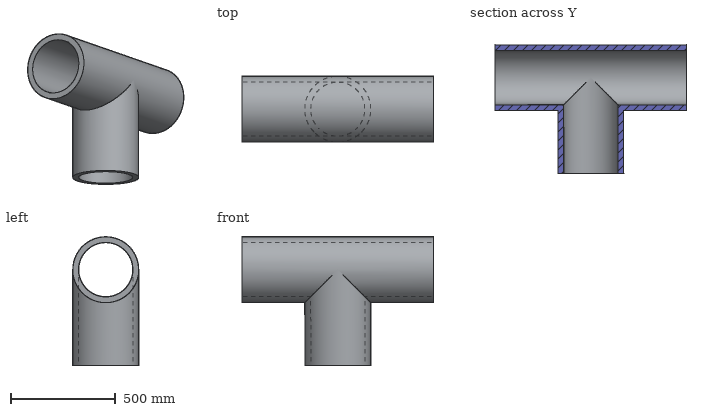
import cadquery as cq

OUTER_DIAMETER = 315.0
BORE_DIAMETER = 257.8
RUN_LENGTH = 915.0
BRANCH_LENGTH = RUN_LENGTH / 2


def run_cylinder(diameter):
    """Full-length cylinder along X, centred on the origin."""
    return cq.Workplane("YZ").circle(diameter / 2).extrude(RUN_LENGTH / 2, both=True)


def branch_cylinder(diameter):
    """Cylinder from the run axis down to the open end of the branch."""
    return cq.Workplane("XY").circle(diameter / 2).extrude(-BRANCH_LENGTH)


def tee(diameter):
    """Run and branch of one diameter joined into a solid tee."""
    return run_cylinder(diameter).union(branch_cylinder(diameter))


result = tee(OUTER_DIAMETER).cut(tee(BORE_DIAMETER))